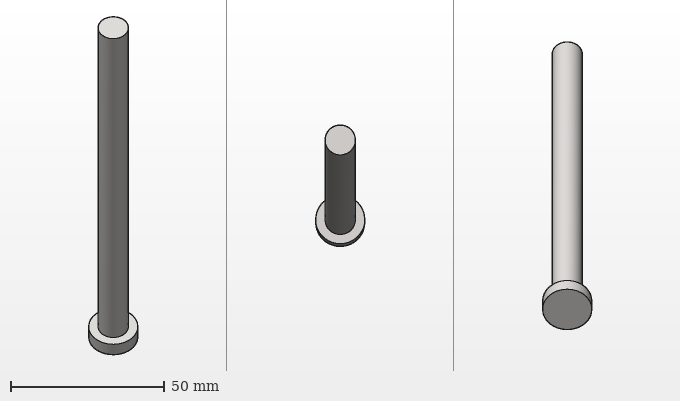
import cadquery as cq

total_length = 146.0
head_diameter = 16.0
head_height = 5.0
shank_diameter = 10.0

head = cq.Workplane("XY").circle(head_diameter / 2).extrude(head_height)
shank = cq.Workplane("XY").circle(shank_diameter / 2).extrude(total_length)

result = head.union(shank)